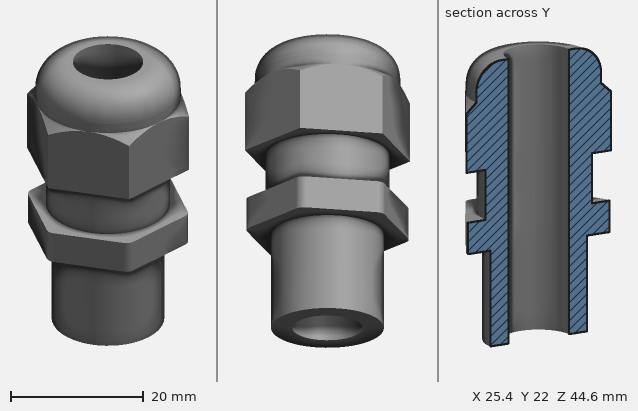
import cadquery as cq
import math

across_flats = 22.0
total_height = 44.6
thread_diameter = 17.05
thread_length = 15.0
flange_height = 5.0
flange_corner_radius = 1.5
neck_diameter = 18.75
nut_bottom = 27.75
nut_top = 38.55
nut_corner_top = 37.0
dome_radius = 4.5
bore_diameter = 10.6

flat_radius = across_flats / 2
corner_radius = flat_radius / math.cos(math.pi / 6)
corner_diameter = 2 * corner_radius
flange_top = thread_length + flange_height


def cylinder(diameter, bottom, top):
    return cq.Workplane("XY").workplane(offset=bottom).circle(diameter / 2).extrude(top - bottom)


def hexagon(bottom, top):
    return cq.Workplane("XY").workplane(offset=bottom).polygon(6, corner_diameter).extrude(top - bottom)


def clamping_nut():
    """Hexagonal nut whose upper corners are turned off by a cone."""
    turning_profile = [
        (0, nut_bottom),
        (corner_radius, nut_bottom),
        (corner_radius, nut_corner_top),
        (flat_radius, nut_top),
        (0, nut_top),
    ]
    turned_blank = cq.Workplane("XZ").polyline(turning_profile).close().revolve(360, (0, 0), (0, 1))
    return hexagon(nut_bottom, nut_top).intersect(turned_blank)


def dome():
    """Round cap with a quarter-circle shoulder."""
    return cylinder(across_flats, nut_bottom, total_height).faces(">Z").edges().fillet(dome_radius)


thread = cylinder(thread_diameter, 0, thread_length)
flange = hexagon(thread_length, flange_top).edges("|Z").fillet(flange_corner_radius)
neck = cylinder(neck_diameter, flange_top, nut_bottom)
bore = cylinder(bore_diameter, 0, total_height)

result = thread.union(flange).union(neck).union(clamping_nut()).union(dome()).cut(bore)